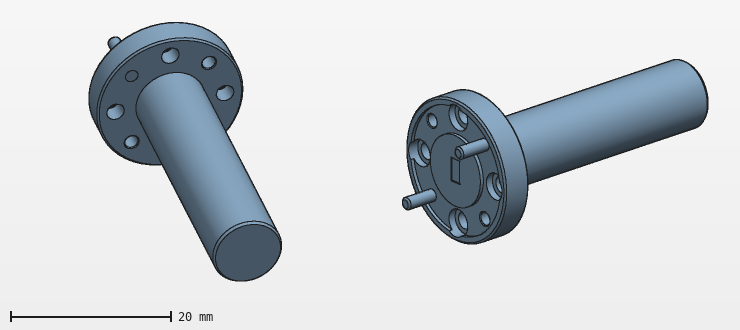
import cadquery as cq

total_length = 41.95
pin_projection = 3.9
flange_thickness = 4.0
flange_face_x = pin_projection
flange_back_x = flange_face_x + flange_thickness

flange_diameter = 19.05
flange_chamfer = 0.25
barrel_diameter = 9.0
barrel_chamfer_length = 0.38
barrel_chamfer_depth = 0.25

boss_diameter = 9.55
rim_inner_diameter = 17.12
relief_depth = 0.5

pocket_width = 1.68
pocket_height = 3.15
pocket_depth = 0.2

screw_offset = 7.15
screw_hole_diameter = 2.25
counterbore_diameter = 3.55
counterbore_depth = 1.5

alignment_offset = 5.05
alignment_hole_diameter = 1.7
alignment_hole_chamfer = 0.13
pin_diameter = 1.65
pin_chamfer = 0.25

screw_points = [(screw_offset, 0), (0, screw_offset), (-screw_offset, 0), (0, -screw_offset)]
open_hole_points = [(alignment_offset, alignment_offset), (-alignment_offset, -alignment_offset)]
pin_points = [(alignment_offset, -alignment_offset), (-alignment_offset, alignment_offset)]

relief_floor_x = flange_face_x + relief_depth


def plane_at(x):
    """Sketch plane facing +X, with local axes along Y and Z."""
    return cq.Workplane("YZ", origin=(x, 0, 0))


def make_blank():
    """Turned flange and barrel with chamfered outer edges."""
    flange_radius = flange_diameter / 2
    barrel_radius = barrel_diameter / 2
    return (
        cq.Workplane("XY")
        .moveTo(flange_face_x, 0)
        .lineTo(flange_face_x, flange_radius - flange_chamfer)
        .lineTo(flange_face_x + flange_chamfer, flange_radius)
        .lineTo(flange_back_x - flange_chamfer, flange_radius)
        .lineTo(flange_back_x, flange_radius - flange_chamfer)
        .lineTo(flange_back_x, barrel_radius)
        .lineTo(total_length - barrel_chamfer_length, barrel_radius)
        .lineTo(total_length, barrel_radius - barrel_chamfer_depth)
        .lineTo(total_length, 0)
        .close()
        .revolve(360, (0, 0, 0), (1, 0, 0))
    )


def make_face_relief():
    """Ring removed around the central boss."""
    return (
        plane_at(flange_face_x)
        .circle(rim_inner_diameter / 2)
        .circle(boss_diameter / 2)
        .extrude(relief_depth)
    )


def make_waveguide_pocket():
    return plane_at(flange_face_x).rect(pocket_width, pocket_height).extrude(pocket_depth)


def make_screw_holes():
    """Through holes with counterbores sunk from the flange face."""
    holes = plane_at(flange_face_x).pushPoints(screw_points).circle(screw_hole_diameter / 2)
    counterbores = plane_at(flange_face_x).pushPoints(screw_points).circle(counterbore_diameter / 2)
    return holes.extrude(flange_thickness).union(counterbores.extrude(counterbore_depth))


def make_open_alignment_hole(y, z):
    """Through hole with a chamfered mouth at each end."""
    hole_radius = alignment_hole_diameter / 2
    mouth_radius = hole_radius + alignment_hole_chamfer
    return (
        cq.Workplane("XY")
        .moveTo(relief_floor_x, 0)
        .lineTo(relief_floor_x, mouth_radius)
        .lineTo(relief_floor_x + alignment_hole_chamfer, hole_radius)
        .lineTo(flange_back_x - alignment_hole_chamfer, hole_radius)
        .lineTo(flange_back_x, mouth_radius)
        .lineTo(flange_back_x, 0)
        .close()
        .revolve(360, (0, 0, 0), (1, 0, 0))
        .translate((0, y, z))
    )


def make_pin_hole(y, z):
    """Close-fitting through hole for a pressed-in pin."""
    return plane_at(flange_face_x).center(y, z).circle(pin_diameter / 2).extrude(flange_thickness)


def make_housing():
    housing = make_blank().cut(make_face_relief()).cut(make_waveguide_pocket()).cut(make_screw_holes())
    for y, z in open_hole_points:
        housing = housing.cut(make_open_alignment_hole(y, z))
    for y, z in pin_points:
        housing = housing.cut(make_pin_hole(y, z))
    return housing


def make_pin(y, z):
    """Alignment pin with a chamfered tip, ending flush with the flange back."""
    return (
        plane_at(0)
        .center(y, z)
        .circle(pin_diameter / 2)
        .extrude(flange_back_x)
        .faces("<X")
        .chamfer(pin_chamfer)
    )


housing = make_housing()
pins = [make_pin(y, z) for y, z in pin_points]

result = cq.Compound.makeCompound([housing.val(), *[pin.val() for pin in pins]])